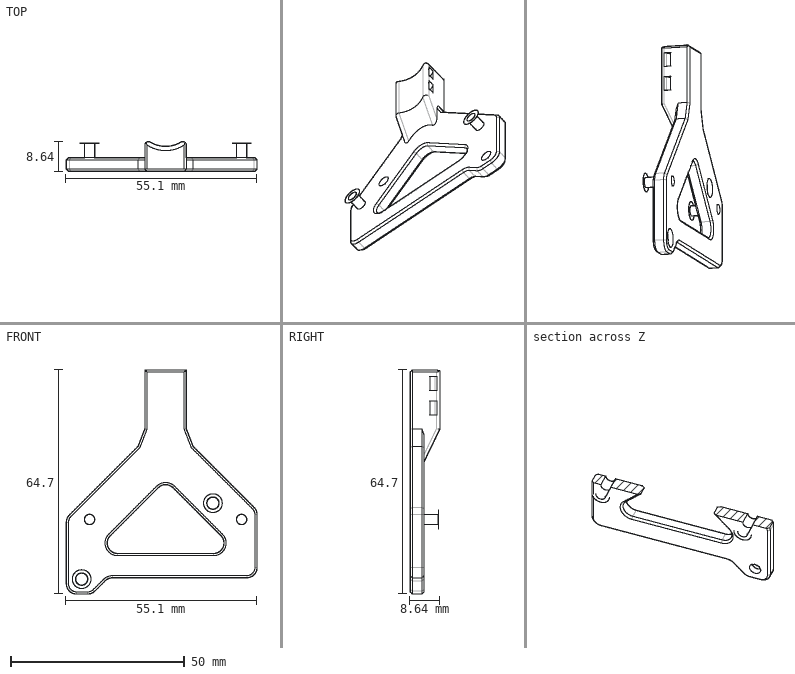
import cadquery as cq
import math


plate_thickness = 4.0
edge_chamfer = 0.65
overall_width = 55.06
overall_height = 64.69
overall_depth = 8.64
top_z = 60.0
bottom_z = top_z - overall_height
left_x = -28.65
right_x = left_x + overall_width
corner_radius = 3.0

stem_half_width = 6.0
stem_base_z = 43.0
shoulder_x = 7.95
shoulder_z = 37.95

foot_flat_end_x = -21.25

window_bottom_z = 7.05
window_half_width = 16.8

pin_hole_diameter = 2.9
pin_hole_x = 21.92
pin_hole_z = 16.85
screw_hole_diameter = 3.4
screw_head_diameter = 5.4
screw_head_depth = 1.5
screw_cone_end_diameter = 3.6
screw_cone_depth = 0.5
screw_positions = [(-24.2, -0.35), (13.65, 21.55)]

pin_end_y = 8.15
sleeve_wall = 0.05
disc_diameter = 5.4
disc_thickness = 0.05

trough_radius = 8.5
tip_radius = 1.05
tip_center_x = stem_half_width - tip_radius
tip_center_y = overall_depth - tip_radius
tip_reach = trough_radius + tip_radius
trough_center_y = tip_center_y + math.sqrt(tip_reach**2 - tip_center_x**2)
trough_floor_y = trough_center_y - trough_radius
trough_bevel_width = 1.25
slant_end_z = 33.4

slot_height = 4.0
slot_top_gap = 2.0
slot_pitch = 7.0
slot_count = 2
slot_inner_radius = trough_radius + 1.7
slot_outer_radius = trough_radius + 3.2
slot_lip_radius = 1.65
slot_lip_center_x = 4.55
slot_end_x = stem_half_width + 1.0


def front_sketch(y):
    """Workplane at depth y with X and Z as its local axes; a negative extrusion runs toward +Y."""
    return cq.Workplane("XZ", origin=(0, y, 0))


def make_plate():
    shoulder_sum = shoulder_x + shoulder_z
    foot_rise = -bottom_z
    outline = [
        (left_x, bottom_z),
        (foot_flat_end_x, bottom_z),
        (foot_flat_end_x + foot_rise, 0),
        (right_x, 0),
        (right_x, shoulder_sum - right_x),
        (shoulder_x, shoulder_z),
        (stem_half_width, stem_base_z),
        (stem_half_width, top_z),
        (-stem_half_width, top_z),
        (-stem_half_width, stem_base_z),
        (-shoulder_x, shoulder_z),
        (left_x, shoulder_sum + left_x),
    ]
    plate = front_sketch(0).polyline(outline).close().extrude(-plate_thickness)
    below_shoulders = cq.selectors.BoxSelector(
        (2 * left_x, -plate_thickness, 2 * bottom_z),
        (2 * right_x, 2 * plate_thickness, (shoulder_z + right_x) / 2),
    )
    plate = plate.edges("|Y").edges(below_shoulders).fillet(corner_radius)
    return plate.cut(make_window()).faces("<Y or >Y").chamfer(edge_chamfer)


def make_window():
    corner_center_x = window_half_width - corner_radius
    side_run = corner_radius / math.tan(math.pi / 8)
    corner_x = corner_center_x + side_run
    window = (
        front_sketch(0)
        .polyline([
            (-corner_x, window_bottom_z),
            (corner_x, window_bottom_z),
            (0, window_bottom_z + corner_x),
        ])
        .close()
        .extrude(-plate_thickness)
    )
    return window.edges("|Y").fillet(corner_radius)


def stem_section(z, base_y):
    """Stem cross-section at height z, from base_y back to the trough and its rounded tips."""
    blend = trough_radius / tip_reach
    blend_x = tip_center_x * blend
    blend_y = trough_center_y + (tip_center_y - trough_center_y) * blend
    return (
        cq.Workplane("XY", origin=(0, 0, z))
        .moveTo(-stem_half_width, base_y)
        .lineTo(stem_half_width, base_y)
        .lineTo(stem_half_width, tip_center_y)
        .threePointArc((tip_center_x, overall_depth), (blend_x, blend_y))
        .threePointArc((0, trough_floor_y), (-blend_x, blend_y))
        .threePointArc((-tip_center_x, overall_depth), (-stem_half_width, tip_center_y))
        .close()
    )


def make_stem():
    """Upright stem, its sloping lower end, and the root that buries both in the plate."""
    root_y = plate_thickness / 2
    upright = stem_section(stem_base_z, root_y).extrude(top_z - stem_base_z)
    slope_path = (
        cq.Workplane("YZ")
        .moveTo(0, stem_base_z)
        .lineTo(plate_thickness - overall_depth, slant_end_z)
    )
    slope = stem_section(stem_base_z, plate_thickness).sweep(slope_path)
    in_front_of_root = (
        cq.Workplane("XY")
        .box(overall_width, overall_depth, top_z, centered=(True, False, False))
        .translate((0, root_y - overall_depth, 0))
    )
    root = (
        cq.Workplane("XY")
        .box(
            2 * stem_half_width,
            plate_thickness - root_y,
            stem_base_z - slant_end_z,
            centered=(True, False, False),
        )
        .translate((0, root_y, slant_end_z))
    )
    return upright.union(slope.cut(in_front_of_root)).union(root)


def bevel_stem_top(part):
    """Bevel the two sides and the trough edge of the stem's top face."""
    for side in (-1, 1):
        wedge = (
            front_sketch(edge_chamfer)
            .polyline([
                (side * stem_half_width, top_z - edge_chamfer),
                (side * stem_half_width, top_z),
                (side * (stem_half_width - edge_chamfer), top_z),
            ])
            .close()
            .extrude(-overall_depth)
        )
        part = part.cut(wedge)
    trough_bevel = cq.Workplane(
        cq.Solid.makeCone(
            trough_radius,
            trough_radius + trough_bevel_width,
            edge_chamfer,
            cq.Vector(0, trough_center_y, top_z - edge_chamfer),
        )
    )
    return part.cut(trough_bevel)


def bore(diameter, x, z, start_y, end_y):
    return front_sketch(start_y).center(x, z).circle(diameter / 2).extrude(start_y - end_y)


def cut_screw_holes(part):
    for x, z in screw_positions:
        cone = cq.Solid.makeCone(
            screw_head_diameter / 2,
            screw_cone_end_diameter / 2,
            screw_cone_depth,
            cq.Vector(x, screw_head_depth, z),
            cq.Vector(0, 1, 0),
        )
        part = part.cut(bore(screw_hole_diameter, x, z, 0, plate_thickness))
        part = part.cut(bore(screw_head_diameter, x, z, 0, screw_head_depth))
        part = part.cut(cq.Workplane(cone))
    return part


def add_pins(part):
    sleeve_diameter = pin_hole_diameter + 2 * sleeve_wall
    for x in (-pin_hole_x, pin_hole_x):
        part = part.union(bore(sleeve_diameter, x, pin_hole_z, plate_thickness / 2, pin_end_y))
        part = part.union(bore(disc_diameter, x, pin_hole_z, pin_end_y - disc_thickness, pin_end_y))
        part = part.cut(bore(pin_hole_diameter, x, pin_hole_z, 0, pin_end_y))
    return part


def cut_strap_slots(part):
    """Cut slots that follow the trough and flare around a rounded lip at each side face."""
    lip_reach = slot_inner_radius - slot_lip_radius
    lip_angle = math.acos(slot_lip_center_x / lip_reach)
    lip_center_y = trough_center_y - lip_reach * math.sin(lip_angle)

    def lip_point(side, angle):
        x = side * (slot_lip_center_x + slot_lip_radius * math.cos(angle))
        return x, lip_center_y - slot_lip_radius * math.sin(angle)

    end_y = trough_center_y - math.sqrt(slot_outer_radius**2 - slot_end_x**2)
    for index in range(slot_count):
        slot_bottom_z = top_z - slot_top_gap - slot_height - index * slot_pitch
        slot = (
            cq.Workplane("XY", origin=(0, 0, slot_bottom_z))
            .moveTo(-slot_end_x, end_y)
            .threePointArc((0, trough_center_y - slot_outer_radius), (slot_end_x, end_y))
            .lineTo(slot_end_x, lip_center_y)
            .lineTo(*lip_point(1, 0))
            .threePointArc(lip_point(1, lip_angle / 2), lip_point(1, lip_angle))
            .threePointArc((0, trough_center_y - slot_inner_radius), lip_point(-1, lip_angle))
            .threePointArc(lip_point(-1, lip_angle / 2), lip_point(-1, 0))
            .lineTo(-slot_end_x, lip_center_y)
            .close()
            .extrude(slot_height)
        )
        part = part.cut(slot)
    return part


body = make_plate().union(make_stem())
body = bevel_stem_top(body)
body = cut_strap_slots(body)
body = cut_screw_holes(body)
result = add_pins(body)